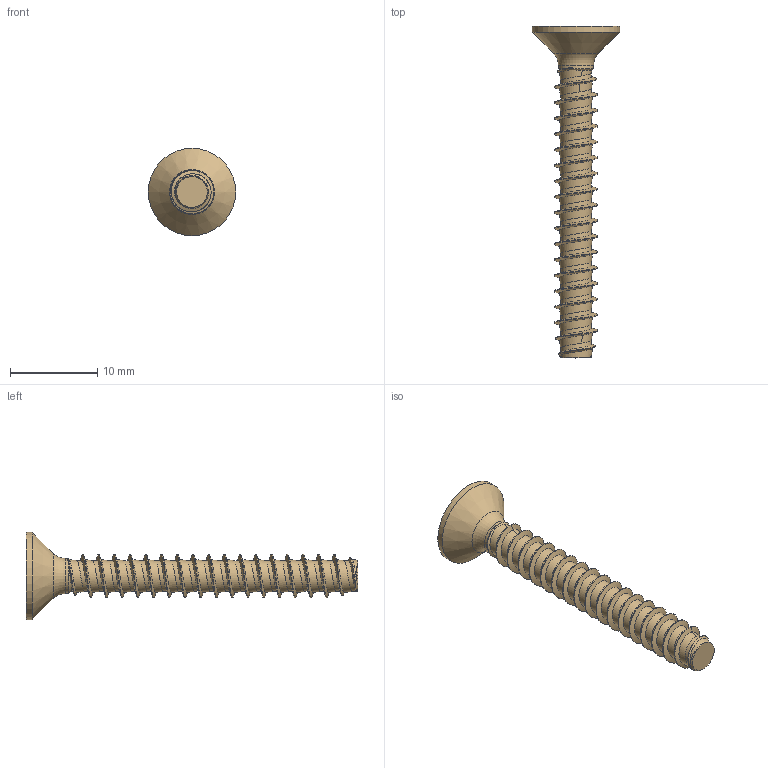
import cadquery as cq
import math


screw_length = 38.0
head_radius = 5.0
rim_height = 0.7
cone_slope = 45.0

neck_radius = 2.0
neck_fillet = 2.0
neck_end = 4.9

core_radius = 1.76
core_start = 5.15

pitch = 1.8
crest_radius = 2.5
crest_half_width = 0.03
flank_foot_radius = 1.89
flank_foot_half_width = 0.2
root_meeting_offset = 1.1
buried_radius = 1.65
buried_head_side = 0.25
buried_tip_side = 1.3
crossing_depth = 6.06

neck_thread_station = (3.1, 1.9)
emerging_station = (4.6, 1.95)
full_start_station = (6.45, crest_radius)
full_end_station = (35.2, crest_radius)
tip_station = (screw_length, 1.9)

bevel_height = 0.4
bevel_depth = 0.3


def make_body():
    """Countersunk head, filleted neck and core as one revolved profile."""
    slope = math.radians(cone_slope)
    fillet_drop = neck_fillet * math.sin(slope)
    fillet_rise = neck_fillet * (1 - math.cos(slope))
    cone_end_radius = neck_radius + fillet_rise
    cone_end = rim_height + (head_radius - cone_end_radius) / math.tan(slope)
    fillet_end = cone_end + fillet_drop
    half_slope = slope / 2
    fillet_middle = (
        neck_radius + neck_fillet * (1 - math.cos(half_slope)),
        -fillet_end + neck_fillet * math.sin(half_slope),
    )
    return (
        cq.Workplane("XZ")
        .lineTo(head_radius, 0)
        .lineTo(head_radius, -rim_height)
        .lineTo(cone_end_radius, -cone_end)
        .threePointArc(fillet_middle, (neck_radius, -fillet_end))
        .lineTo(neck_radius, -neck_end)
        .lineTo(core_radius, -core_start)
        .lineTo(core_radius, -screw_length)
        .lineTo(0, -screw_length)
        .close()
        .revolve(360, (0, 0, 0), (0, 1, 0))
    )


def helix(start_z, height, start_radius, end_radius):
    """Right-hand helix whose radius changes evenly over its height."""
    start = cq.Vector(0, 0, start_z)
    axis = cq.Vector(0, 0, 1)
    if start_radius == end_radius:
        return cq.Wire.makeHelix(pitch, height, start_radius, start, axis)
    taper = math.atan2(end_radius - start_radius, height)
    stretch = 1 / math.cos(taper)
    return cq.Wire.makeHelix(
        pitch * stretch, height * stretch, start_radius, start, axis, math.degrees(taper)
    )


def ridge_profile(first_crest, last_crest):
    """Ridge corners as start radius, end radius and axial offset from the crest."""
    root_slope = (flank_foot_radius - core_radius) / (root_meeting_offset - flank_foot_half_width)
    root_end_radius = core_radius - root_slope * (buried_tip_side - root_meeting_offset)
    return [
        (buried_radius, buried_radius, -buried_tip_side),
        (root_end_radius, root_end_radius, -buried_tip_side),
        (flank_foot_radius, flank_foot_radius, -flank_foot_half_width),
        (first_crest, last_crest, -crest_half_width),
        (first_crest, last_crest, crest_half_width),
        (buried_radius, buried_radius, buried_head_side),
    ]


def make_thread_stretch(upper_station, lower_station):
    """Ridge between two crest stations, built upwards from the lower one."""
    upper_depth, upper_radius = upper_station
    lower_depth, lower_radius = lower_station
    edges = [
        helix(offset - lower_depth, lower_depth - upper_depth, first, last)
        for first, last, offset in ridge_profile(lower_radius, upper_radius)
    ]
    sides = [
        cq.Face.makeRuledSurface(edge, neighbour)
        for edge, neighbour in zip(edges, edges[1:] + edges[:1])
    ]
    ends = [
        cq.Face.makeFromWires(cq.Wire.makePolygon([corner(edge) for edge in edges], close=True))
        for corner in (cq.Wire.startPoint, cq.Wire.endPoint)
    ]
    ridge = cq.Solid.makeSolid(cq.Shell.makeShell(sides + ends))
    start_angle = 360 * (crossing_depth - lower_depth) / pitch
    return cq.Workplane(ridge.rotate((0, 0, 0), (0, 0, 1), start_angle))


def make_tip_limit():
    """Envelope of the thread, ending at the tip in a bevel down to the core."""
    bevel_start = bevel_height - screw_length
    bevel_radius = core_radius + bevel_depth
    return (
        cq.Workplane("XZ")
        .lineTo(head_radius, 0)
        .lineTo(head_radius, bevel_start)
        .lineTo(bevel_radius, bevel_start)
        .lineTo(core_radius, -screw_length)
        .lineTo(0, -screw_length)
        .close()
        .revolve(360, (0, 0, 0), (0, 1, 0))
    )


def make_thread():
    """Whole thread: rising out of the neck, at full height, then fading at the tip."""
    stations = [
        neck_thread_station,
        emerging_station,
        full_start_station,
        full_end_station,
        tip_station,
    ]
    thread = make_thread_stretch(stations[0], stations[1])
    for upper, lower in zip(stations[1:], stations[2:]):
        thread = thread.union(make_thread_stretch(upper, lower))
    return thread.intersect(make_tip_limit())


screw = make_body().union(make_thread())
result = screw.rotate((0, 0, 0), (1, 0, 0), -90)